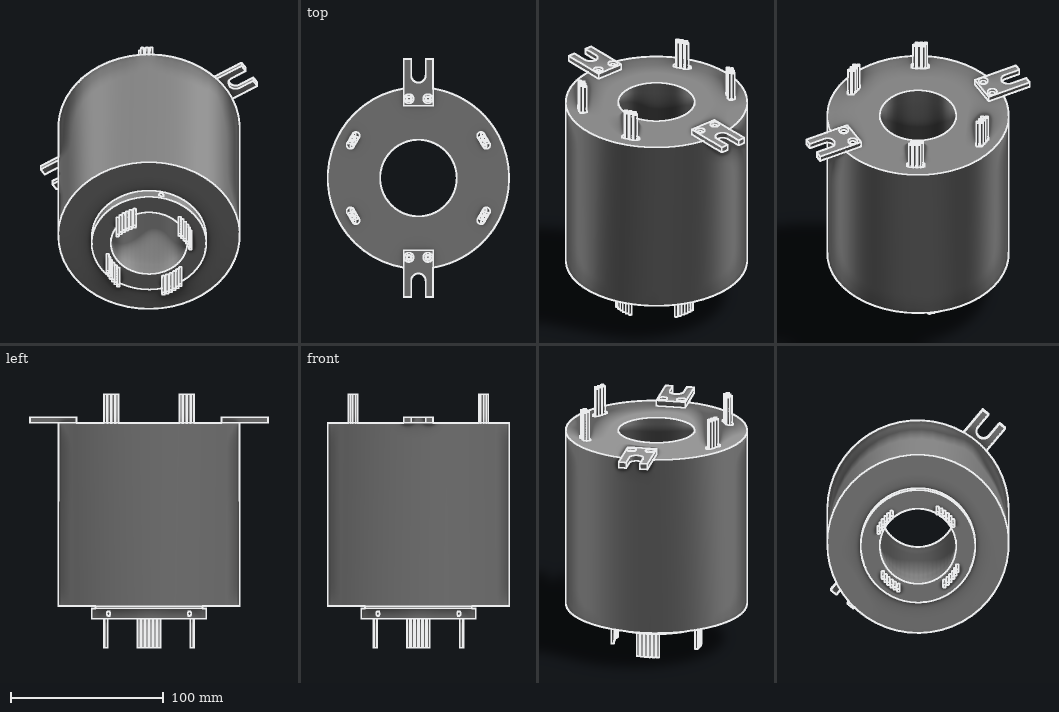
import cadquery as cq
import math

LOWER_WIRE_LENGTH = 19.0
FLANGE_HEIGHT = 7.0
NECK_HEIGHT = 1.5
BODY_HEIGHT = 120.0
UPPER_WIRE_LENGTH = 18.8

FLANGE_BOTTOM = LOWER_WIRE_LENGTH
BODY_BOTTOM = FLANGE_BOTTOM + FLANGE_HEIGHT + NECK_HEIGHT
BODY_TOP = BODY_BOTTOM + BODY_HEIGHT

BODY_DIAMETER = 119.0
NECK_DIAMETER = 70.1
FLANGE_DIAMETER = 75.1
BORE_DIAMETER = 50.0

SET_SCREW_DIAMETER = 3.2
SET_SCREW_DEPTH = 5.0
SET_SCREW_ANGLES = (45, 135, 225, 315)

BRACKET_SPAN = 156.0
BRACKET_LENGTH = 30.5
BRACKET_WIDTH = 19.3
BRACKET_THICKNESS = 3.8
FORK_WIDTH = 9.3
FORK_DEPTH = 15.5
BRACKET_OUTER_Y = BRACKET_SPAN / 2
BRACKET_INNER_Y = BRACKET_OUTER_Y - BRACKET_LENGTH

SCREW_SPACING = 12.5
SCREW_EDGE_DISTANCE = 4.5
CLEARANCE_DIAMETER = 3.5
COUNTERSINK_DIAMETER = 6.1
COUNTERSINK_DEPTH = (COUNTERSINK_DIAMETER - CLEARANCE_DIAMETER) / 2
THREAD_DIAMETER = 2.3
THREAD_DEPTH = 5.0
DRILL_TIP_ANGLE = 118
DRILL_TIP_DEPTH = THREAD_DIAMETER / 2 / math.tan(math.radians(DRILL_TIP_ANGLE / 2))

WIRE_DIAMETER = 2.0
WIRE_EMBED = 1.7

UPPER_BUNDLE_RADIUS = 49.4
UPPER_BUNDLE_ANGLE = 30
UPPER_WIRES_PER_ROW = 3
UPPER_WIRE_PITCH = 3.0
UPPER_ROW_SPACING = 2.3
RECESS_LENGTH = 12.0
RECESS_WIDTH = 5.0
RECESS_DEPTH = 1.7

LOWER_BUNDLE_RADIUS = 28.8
LOWER_BUNDLE_ANGLES = (0, 90, 180, 270)
LOWER_WIRES_PER_BUNDLE = 6
LOWER_WIRE_PITCH = 2.7


def cylinder(diameter, bottom, height, x=0, y=0):
    """Vertical cylinder standing at the given height."""
    return cq.Workplane("XY", origin=(x, y, bottom)).circle(diameter / 2).extrude(height)


def mirrored_quarters(solid):
    """The solid together with its mirror images in the XZ and YZ planes."""
    half = solid.union(solid.mirror("XZ"))
    return half.union(half.mirror("YZ"))


def make_housing():
    """Cylindrical body with the necked flange below it and the bore through all."""
    flange = cylinder(FLANGE_DIAMETER, FLANGE_BOTTOM, FLANGE_HEIGHT)
    neck = cylinder(NECK_DIAMETER, FLANGE_BOTTOM, FLANGE_HEIGHT + NECK_HEIGHT)
    body = cylinder(BODY_DIAMETER, BODY_BOTTOM, BODY_HEIGHT)
    bore = cylinder(BORE_DIAMETER, FLANGE_BOTTOM, BODY_TOP - FLANGE_BOTTOM)
    return flange.union(neck).union(body).cut(bore)


def make_set_screw_holes():
    """Blind radial holes at mid height of the flange."""
    hole_start = FLANGE_DIAMETER / 2 - SET_SCREW_DEPTH
    hole = (
        cq.Workplane("YZ", origin=(hole_start, 0, FLANGE_BOTTOM + FLANGE_HEIGHT / 2))
        .circle(SET_SCREW_DIAMETER / 2)
        .extrude(2 * SET_SCREW_DEPTH)
    )
    holes = cq.Workplane("XY")
    for angle in SET_SCREW_ANGLES:
        holes = holes.add(hole.rotate((0, 0, 0), (0, 0, 1), angle))
    return holes.combine()


def make_bracket():
    """Bracket on the +Y side, with a round-ended fork slot open outwards."""
    slot_end_y = BRACKET_OUTER_Y - FORK_DEPTH
    shoulder_y = slot_end_y + FORK_WIDTH / 2
    half_width = BRACKET_WIDTH / 2
    half_fork = FORK_WIDTH / 2
    return (
        cq.Workplane("XY", origin=(0, 0, BODY_TOP))
        .moveTo(-half_width, BRACKET_INNER_Y)
        .lineTo(half_width, BRACKET_INNER_Y)
        .lineTo(half_width, BRACKET_OUTER_Y)
        .lineTo(half_fork, BRACKET_OUTER_Y)
        .lineTo(half_fork, shoulder_y)
        .threePointArc((0, slot_end_y), (-half_fork, shoulder_y))
        .lineTo(-half_fork, BRACKET_OUTER_Y)
        .lineTo(-half_width, BRACKET_OUTER_Y)
        .close()
        .extrude(BRACKET_THICKNESS)
    )


def make_screw_hole():
    """Countersunk bracket hole and pointed thread hole below it, at the +X +Y position."""
    profile = [
        (0, BRACKET_THICKNESS),
        (COUNTERSINK_DIAMETER / 2, BRACKET_THICKNESS),
        (CLEARANCE_DIAMETER / 2, BRACKET_THICKNESS - COUNTERSINK_DEPTH),
        (CLEARANCE_DIAMETER / 2, 0),
        (THREAD_DIAMETER / 2, 0),
        (THREAD_DIAMETER / 2, -THREAD_DEPTH),
        (0, -THREAD_DEPTH - DRILL_TIP_DEPTH),
    ]
    hole = cq.Workplane("XZ").polyline(profile).close().revolve(360, (0, 0), (0, 1))
    return hole.translate((SCREW_SPACING / 2, BRACKET_INNER_Y + SCREW_EDGE_DISTANCE, BODY_TOP))


def place_upper(solid):
    """Move a bundle feature, built with its length along Y, to the first bundle position."""
    return solid.translate((UPPER_BUNDLE_RADIUS, 0, 0)).rotate((0, 0, 0), (0, 0, 1), UPPER_BUNDLE_ANGLE)


def make_upper_recess():
    """Obround recess around one upper bundle."""
    recess = (
        cq.Workplane("XY", origin=(0, 0, BODY_TOP - RECESS_DEPTH))
        .slot2D(RECESS_LENGTH, RECESS_WIDTH, 90)
        .extrude(RECESS_DEPTH)
    )
    return place_upper(recess)


def make_upper_bundle():
    """Two rows of wires, the outer row shifted half a pitch along the recess."""
    bottom = BODY_TOP - RECESS_DEPTH - WIRE_EMBED
    height = UPPER_WIRE_LENGTH + RECESS_DEPTH + WIRE_EMBED
    wires = cq.Workplane("XY")
    for side in (-1, 1):
        for index in range(UPPER_WIRES_PER_ROW):
            x = side * UPPER_ROW_SPACING / 2
            y = (index - (UPPER_WIRES_PER_ROW - 1) / 2 + side / 4) * UPPER_WIRE_PITCH
            wires = wires.add(cylinder(WIRE_DIAMETER, bottom, height, x, y))
    return place_upper(wires.combine())


def make_lower_wires():
    """Wires hanging from the flange, in an arc at each bundle position."""
    pitch_angle = math.degrees(LOWER_WIRE_PITCH / LOWER_BUNDLE_RADIUS)
    wire = cylinder(WIRE_DIAMETER, 0, LOWER_WIRE_LENGTH + WIRE_EMBED, LOWER_BUNDLE_RADIUS)
    wires = cq.Workplane("XY")
    for bundle_angle in LOWER_BUNDLE_ANGLES:
        for index in range(LOWER_WIRES_PER_BUNDLE):
            offset = (index - (LOWER_WIRES_PER_BUNDLE - 1) / 2) * pitch_angle
            wires = wires.add(wire.rotate((0, 0, 0), (0, 0, 1), bundle_angle + offset))
    return wires.combine()


bracket = make_bracket()

result = (
    make_housing()
    .cut(make_set_screw_holes())
    .union(bracket)
    .union(bracket.mirror("XZ"))
    .cut(mirrored_quarters(make_screw_hole()))
    .cut(mirrored_quarters(make_upper_recess()))
    .union(mirrored_quarters(make_upper_bundle()))
    .union(make_lower_wires())
)